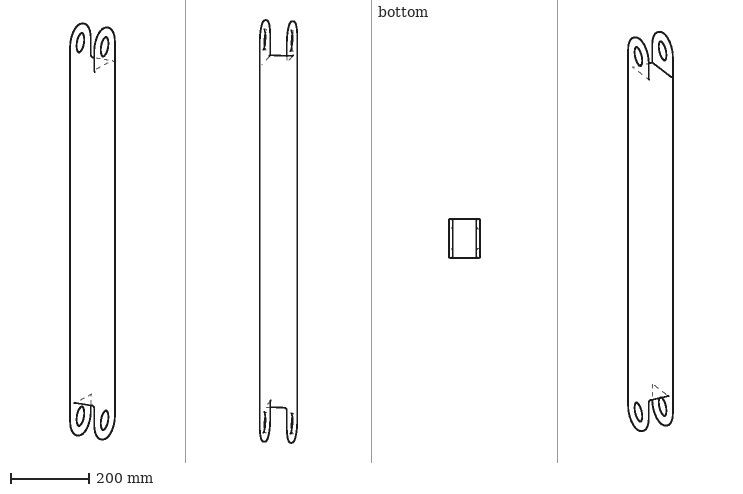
import cadquery as cq

LENGTH = 1100.0
WIDTH = 80.0
DEPTH = 100.0
CHEEK = 10.0
FORK_DEPTH = DEPTH
CORNER_RADIUS = 5.0
PIN_HOLE = DEPTH / 2
RIM_RADIUS = 4.8

END_RADIUS = DEPTH / 2
PIN_Z = LENGTH / 2 - END_RADIUS
GAP = WIDTH - 2 * CHEEK


def bar_blank():
    """Solid bar with ends rounded about the pin axes."""
    return cq.Workplane("YZ").slot2D(LENGTH, DEPTH, 90).extrude(WIDTH / 2, both=True)


def fork_gap(end, rounded_corners):
    """Cutter for the fork at the top (end=1) or bottom (end=-1)."""
    height = 2 * FORK_DEPTH
    return (
        cq.Workplane("XY")
        .box(GAP, 2 * DEPTH, height)
        .faces("<Z" if end > 0 else ">Z")
        .edges(rounded_corners)
        .fillet(CORNER_RADIUS)
        .translate((0, 0, end * LENGTH / 2))
    )


def pin_hole(end):
    """Cutter for the pin hole through both cheeks of one fork."""
    return (
        cq.Workplane("YZ")
        .center(0, end * PIN_Z)
        .circle(PIN_HOLE / 2)
        .extrude(WIDTH, both=True)
    )


result = bar_blank().cut(fork_gap(1, "<X")).cut(fork_gap(-1, "|Y"))
for end in (1, -1):
    result = result.cut(pin_hole(end))

outline_and_holes = result.edges("not (|X or |Y)")
floor_rims = result.edges("|X and (<Y or >Y)")
result = outline_and_holes.add(floor_rims).fillet(RIM_RADIUS)